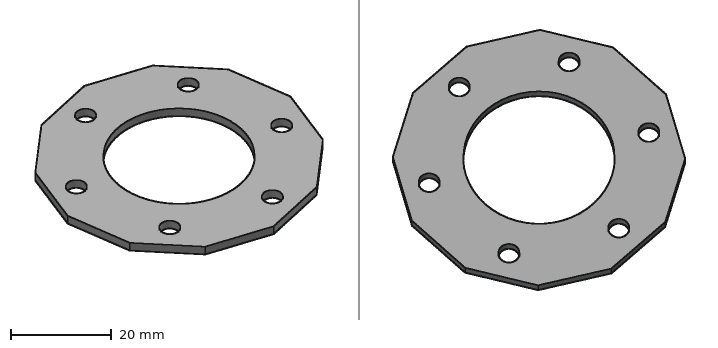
import cadquery as cq
import math

side_count = 12
across_flats = 56.0
thickness = 2.0
bore_diameter = 30.0

hole_count = 6
hole_diameter = 4.2
hole_circle_radius = 22.5
first_hole_angle = 90.0

half_side_angle = 180.0 / side_count
across_corners = across_flats / math.cos(math.radians(half_side_angle))

plate = (
    cq.Workplane("XY")
    .polygon(side_count, across_corners)
    .extrude(thickness)
    .rotate((0, 0, 0), (0, 0, 1), half_side_angle)
)

bore = cq.Workplane("XY").circle(bore_diameter / 2).extrude(thickness)

bolt_holes = (
    cq.Workplane("XY")
    .polarArray(hole_circle_radius, first_hole_angle, 360, hole_count)
    .circle(hole_diameter / 2)
    .extrude(thickness)
)

result = plate.cut(bore).cut(bolt_holes)